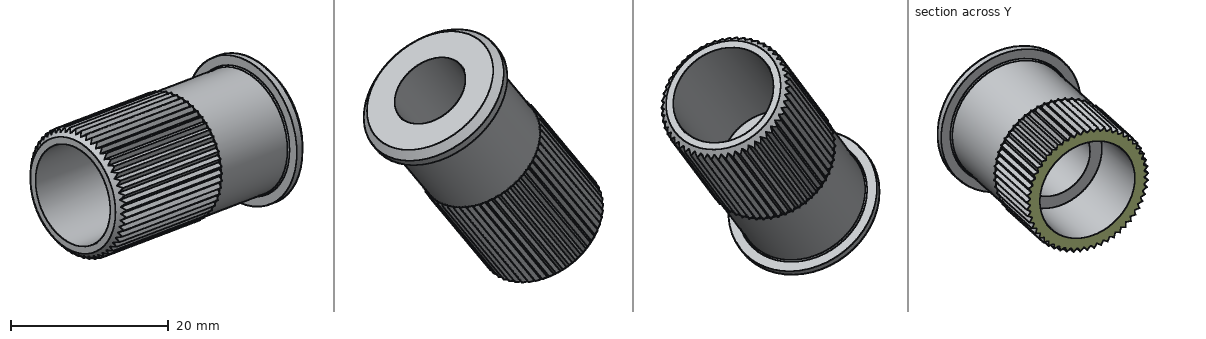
import cadquery as cq
import math

LENGTH = 32.0
FLANGE_RADIUS = 20.0 / 2
BODY_RADIUS = 17.0 / 2

FLANGE_THICKNESS = 2.0
FLANGE_CHAMFER = 1.0
NECK_CHAMFER = 0.2

TOOTH_COUNT = 55
TIP_RADIUS = 8.7
ROOT_RADIUS = 8.2
KNURL_LENGTH = 18.0
END_CHAMFER = 1.0

BORE_RADIUS = 10.1 / 2
WIDE_BORE_RADIUS = 13.5 / 2
WIDE_BORE_DEPTH = KNURL_LENGTH

FRONT_Y = -LENGTH / 2
BACK_Y = LENGTH / 2
KNURL_END_Y = FRONT_Y + KNURL_LENGTH
FLANGE_FACE_Y = BACK_Y - FLANGE_THICKNESS


def revolved(profile):
    """Revolve a closed list of (radius, y) points about the Y axis."""
    return cq.Workplane("XY").polyline(profile).close().revolve(360, (0, 0, 0), (0, 1, 0))


def flanged_body():
    """Plain sleeve and chamfered flange, with a small chamfer at the neck."""
    return revolved([
        (0, KNURL_END_Y),
        (BODY_RADIUS, KNURL_END_Y),
        (BODY_RADIUS, FLANGE_FACE_Y - NECK_CHAMFER),
        (BODY_RADIUS + NECK_CHAMFER, FLANGE_FACE_Y),
        (FLANGE_RADIUS, FLANGE_FACE_Y),
        (FLANGE_RADIUS, BACK_Y - FLANGE_CHAMFER),
        (FLANGE_RADIUS - FLANGE_CHAMFER, BACK_Y),
        (0, BACK_Y),
    ])


def knurled_end():
    """Sharp V-toothed prism, trimmed by a conical chamfer at its free end."""
    outline = []
    half_pitch = math.pi / TOOTH_COUNT
    for i in range(2 * TOOTH_COUNT):
        angle = math.pi / 2 + i * half_pitch
        radius = ROOT_RADIUS if i % 2 == 0 else TIP_RADIUS
        outline.append((radius * math.cos(angle), radius * math.sin(angle)))
    teeth = (
        cq.Workplane("XZ", origin=(0, KNURL_END_Y, 0))
        .polyline(outline)
        .close()
        .extrude(KNURL_LENGTH)
    )
    clearance = 0.32
    face_radius = TIP_RADIUS - END_CHAMFER
    envelope_radius = TIP_RADIUS + clearance
    envelope = revolved([
        (0, FRONT_Y),
        (face_radius, FRONT_Y),
        (envelope_radius, FRONT_Y + END_CHAMFER + clearance),
        (envelope_radius, KNURL_END_Y),
        (0, KNURL_END_Y),
    ])
    return teeth.intersect(envelope)


def stepped_bore():
    """Material removed along the whole axis."""
    step_y = FRONT_Y + WIDE_BORE_DEPTH
    return revolved([
        (0, FRONT_Y),
        (WIDE_BORE_RADIUS, FRONT_Y),
        (WIDE_BORE_RADIUS, step_y),
        (BORE_RADIUS, step_y),
        (BORE_RADIUS, BACK_Y),
        (0, BACK_Y),
    ])


result = flanged_body().union(knurled_end()).cut(stepped_bore())